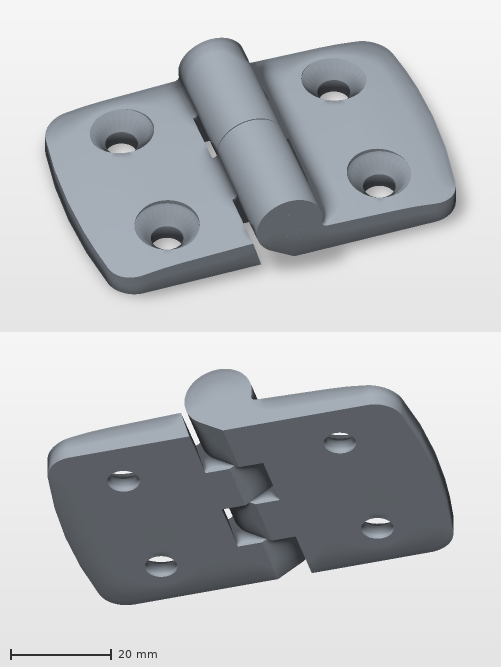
import cadquery as cq
import math

width = 48.0
leaf_reach = 38.3

barrel_radius = 7.0
axis_height = 8.95
pin_diameter = 6.0
knuckle_pitch = width / 4
middle_gap = 0.2
knuckle_fillet = 1.0
bottom_setback = 1.0

relief_bottom = 6.0
relief_angle = math.radians(15.0)

corner_radius = 6.0
end_bulge = 2.7

knee_distance = 22.75
knee_height = 7.4
top_slope = math.radians(2.0)
drop_radius = 60.5
crown_radius = 193.8

hole_diameter = 6.5
head_diameter = 13.0
hole_offset_x = 13.95
hole_distance = 22.4
head_height = 6.5

margin = 3.8
half_width = width / 2
half_gap = middle_gap / 2

relief_spans = [(-knuckle_pitch, half_gap), (knuckle_pitch, half_width)]


def extrude_along_x(profile, start, end):
    """Extrude a YZ profile, drawn on the X = 0 plane, from X = start to X = end."""
    return profile.extrude(end - start).translate((start, 0, 0))


def make_outline():
    """Plan shape of the front leaf, extruded up to the barrel axis."""
    return (
        cq.Workplane("XY")
        .moveTo(-half_width, barrel_radius)
        .lineTo(-half_width, end_bulge - leaf_reach)
        .threePointArc((0, -leaf_reach), (half_width, end_bulge - leaf_reach))
        .lineTo(half_width, barrel_radius)
        .close()
        .extrude(axis_height)
        .edges("|Z")
        .edges("<Y")
        .fillet(corner_radius)
    )


def make_crown():
    """Solid below the crowned top: a side profile swung about an axis far below the leaf."""
    arc_center_y = -knee_distance + drop_radius * math.sin(top_slope)
    arc_center_z = knee_height - drop_radius * math.cos(top_slope)

    def arc_point(y):
        return (y, arc_center_z + math.sqrt(drop_radius**2 - (y - arc_center_y) ** 2))

    outer_y = -leaf_reach - margin
    inner_height = knee_height + (knee_distance + barrel_radius) * math.tan(top_slope)
    swing_z = knee_height - crown_radius
    swing = 2 * math.degrees(math.asin((half_width + margin) / crown_radius))
    return (
        cq.Workplane("YZ")
        .moveTo(outer_y, -margin)
        .lineTo(*arc_point(outer_y))
        .threePointArc(arc_point((outer_y - knee_distance) / 2), (-knee_distance, knee_height))
        .lineTo(barrel_radius, inner_height)
        .lineTo(barrel_radius, -margin)
        .close()
        .revolve(swing, (0, swing_z), (1, swing_z))
        .rotate((0, 0, swing_z), (0, 1, swing_z), -swing / 2)
    )


def make_underside():
    """Side shape whose sloping underside runs from the bottom edge tangent to the barrel."""
    edge_to_axis = math.hypot(bottom_setback, axis_height)
    tangent_angle = (
        math.atan2(-axis_height, -bottom_setback) + math.acos(barrel_radius / edge_to_axis)
    )
    tangent_point = (
        barrel_radius * math.cos(tangent_angle),
        axis_height + barrel_radius * math.sin(tangent_angle),
    )
    profile = cq.Workplane("YZ").polyline([
        (-bottom_setback, 0),
        tangent_point,
        (0, axis_height),
        (-leaf_reach, axis_height),
        (-leaf_reach, 0),
    ]).close()
    return extrude_along_x(profile, -half_width, half_width)


def make_relief(start, end):
    """Space for a knuckle of the other leaf, closed by the slanted wall."""
    top = axis_height + barrel_radius
    profile = cq.Workplane("YZ").polyline([
        (-relief_bottom, 0),
        (-relief_bottom - top * math.tan(relief_angle), top),
        (barrel_radius, top),
        (barrel_radius, 0),
    ]).close()
    return extrude_along_x(profile, start, end)


def make_barrel(start, end, radius):
    """Round bar on the hinge axis."""
    return extrude_along_x(cq.Workplane("YZ").center(0, axis_height).circle(radius), start, end)


def make_screw_hole(x):
    """Through hole with a 90 degree countersink and a cylindrical mouth."""
    hole_radius = hole_diameter / 2
    head_radius = head_diameter / 2
    cone_bottom = head_height - (head_radius - hole_radius)
    return (
        cq.Workplane("XZ")
        .polyline([
            (0, 0),
            (hole_radius, 0),
            (hole_radius, cone_bottom),
            (head_radius, head_height),
            (head_radius, axis_height),
            (0, axis_height),
        ])
        .close()
        .revolve(360, (0, 0), (0, 1))
        .translate((x, -hole_distance, 0))
    )


def make_front_leaf():
    """Leaf on the -Y side, with its two knuckles."""
    plate = make_outline().intersect(make_crown()).intersect(make_underside())
    leaf = plate.union(make_barrel(-half_width, half_width, barrel_radius))

    corner = cq.selectors.BoxSelector(
        (-half_width, -barrel_radius, axis_height - barrel_radius / 2),
        (half_width, -barrel_radius / 2, axis_height),
    )
    leaf = leaf.edges(corner).fillet(knuckle_fillet)

    for start, end in relief_spans:
        leaf = leaf.cut(make_relief(start, end))
    for x in (-hole_offset_x, hole_offset_x):
        leaf = leaf.cut(make_screw_hole(x))
    return leaf.cut(make_barrel(-half_width, half_width, pin_diameter / 2))


front_leaf = make_front_leaf()
rear_leaf = front_leaf.rotate((0, 0, 0), (0, 0, 1), 180)
pin = make_barrel(-half_width, half_width, pin_diameter / 2)

result = cq.Compound.makeCompound([front_leaf.val(), rear_leaf.val(), pin.val()])